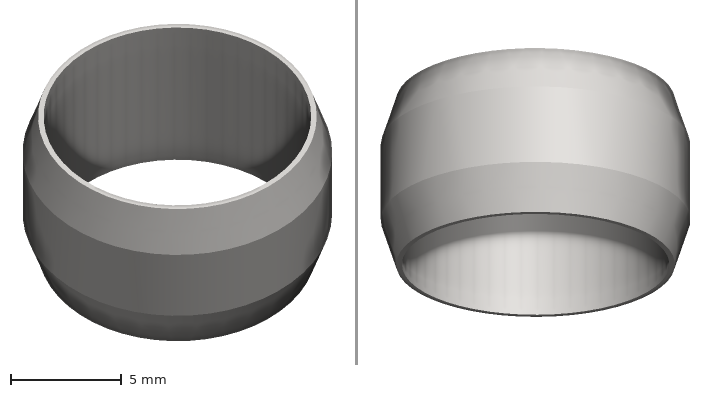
import cadquery as cq

outer_diameter = 14.0
end_diameter = 12.6
bore_diameter = 12.1
total_height = 8.0
taper_height = 2.15

outer_radius = outer_diameter / 2
end_radius = end_diameter / 2
bore_radius = bore_diameter / 2
half_height = total_height / 2
half_band_height = half_height - taper_height

ring_section = (
    cq.Workplane("XZ")
    .moveTo(bore_radius, -half_height)
    .lineTo(end_radius, -half_height)
    .lineTo(outer_radius, -half_band_height)
    .lineTo(outer_radius, half_band_height)
    .lineTo(end_radius, half_height)
    .lineTo(bore_radius, half_height)
    .close()
)

result = ring_section.revolve(360, (0, 0, 0), (0, 1, 0))